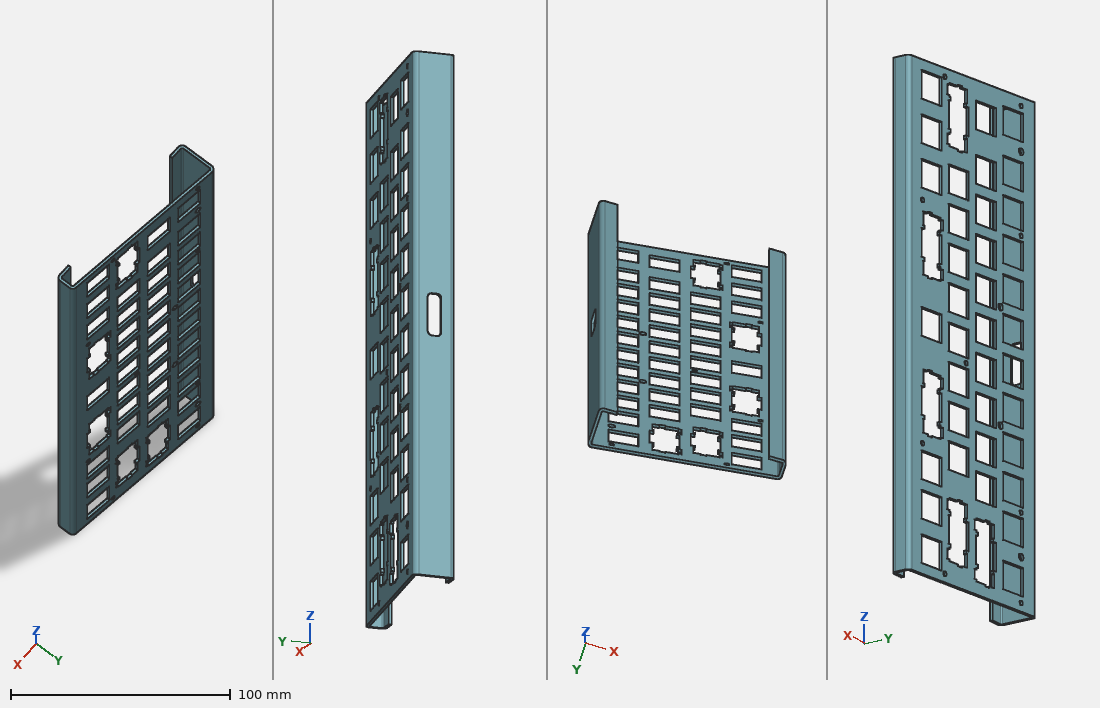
import cadquery as cq
import math

length = 248.0
width = 89.3
depth = 20.0
thickness = 1.5
bend_radius = 2.2
lip_length = 8.5
tilt_degrees = 6.8
tilt = math.radians(tilt_degrees)

units_per_row = 13
end_margin = 0.17
key_pitch = (length - 2 * end_margin) / units_per_row
row_shift = 0.32
switch_size = 14.0

key_rows = [
    [6] + 10 * [4] + [6],
    [7] + 9 * [4] + [9],
    [9] + 8 * [4] + [11],
    [5, 4, 5, 9, 7, 9, 4, 4, 5],
]
quarters_per_unit = 4
stabilizer_min_quarters = 8
flipped_row = len(key_rows) - 1

stabilizer_spacing = 12.0
stabilizer_width = 6.7
stabilizer_back = 5.7
stabilizer_front = 6.5
channel_back = 5.0
channel_front = 5.7
end_notch_width = 2.7
end_notch_depth = 0.7
end_notch_offset = 1.0
clip_notch_width = 5.0
clip_notch_depth = 1.5

large_hole_diameter = 3.2
small_hole_diameter = 2.2
back_hole_x = 33.7
front_hole_x = 35.2
inner_hole_x = 19.3
corner_hole_x = 19.5
corner_hole_z = 119.8
side_hole_z = 97.7
middle_hole_x = 4.7
middle_hole_z = 14.5
front_hole_top_z = 56.3
front_hole_bottom_z = 61.0

large_hole_places = [
    (-back_hole_x, side_hole_z),
    (-back_hole_x, -side_hole_z),
    (-inner_hole_x, key_pitch),
    (-inner_hole_x, -2 * key_pitch),
]
small_hole_places = [
    (-back_hole_x, corner_hole_z),
    (-back_hole_x, -corner_hole_z),
    (corner_hole_x, corner_hole_z),
    (corner_hole_x, -corner_hole_z),
    (-back_hole_x, 3 * key_pitch),
    (-back_hole_x, -4 * key_pitch),
    (middle_hole_x, -middle_hole_z),
    (front_hole_x, front_hole_top_z),
    (front_hole_x, -front_hole_bottom_z),
]

slot_length = 20.0
slot_width = 6.7
slot_radius = 2.2

corner_rise = bend_radius * (math.tan(tilt) + 1 / math.cos(tilt) - 1)
tall_side_y = depth / 2 + corner_rise
short_side_y = tall_side_y - width * math.tan(tilt)
plate_mid_y = (tall_side_y + short_side_y) / 2 - thickness / 2 / math.cos(tilt)


def folded_sheet():
    """C-shaped channel: tilted plate, two side walls and two inward lips."""
    corners = [
        (-width / 2, -depth / 2),
        (width / 2, -depth / 2),
        (width / 2, short_side_y),
        (-width / 2, tall_side_y),
    ]
    outline = cq.Workplane("XY").workplane(offset=-length / 2).polyline(corners).close()
    outer = outline.extrude(length).edges("|Z").fillet(bend_radius)
    inner = outline.toPending().offset2D(-thickness, "intersection").extrude(length)
    inner = inner.edges("|Z").fillet(bend_radius - thickness)
    lip_gap = cq.Workplane("XY").box(width - 2 * lip_length, 3 * thickness, length)
    return outer.cut(inner).cut(lip_gap.translate((0, -depth / 2, 0)))


def plate_plane():
    """Plane in the middle of the plate: local X runs down the slope, local Y along Z."""
    return cq.Workplane(
        cq.Plane(
            origin=(0, plate_mid_y, 0),
            xDir=(math.cos(tilt), -math.sin(tilt), 0),
            normal=(-math.sin(tilt), -math.cos(tilt), 0),
        )
    )


def plate_box(x_min, x_max, z_min, z_max):
    """Cutter through the plate over a rectangle in plate coordinates."""
    centre = ((x_min + x_max) / 2, (z_min + z_max) / 2)
    outline = plate_plane().center(*centre).rect(x_max - x_min, z_max - z_min)
    return outline.extrude(thickness, both=True)


def stabilizer_boxes(x, z, facing):
    """Cutters beside a wide key's switch; facing is 1 for clips toward +X, -1 for -X."""

    def box(x_from, x_to, z_from, z_to):
        x_ends = sorted((x + facing * x_from, x + facing * x_to))
        return plate_box(*x_ends, *sorted((z_from, z_to)))

    cutters = []
    for end in (-1, 1):
        middle = z + end * stabilizer_spacing
        inner_end = middle - end * stabilizer_width / 2
        outer_end = middle + end * stabilizer_width / 2
        cutters += [
            box(-channel_back, channel_front, z, inner_end),
            box(-stabilizer_back, stabilizer_front, inner_end, outer_end),
            box(
                -end_notch_offset - end_notch_width / 2,
                -end_notch_offset + end_notch_width / 2,
                middle,
                outer_end + end * end_notch_depth,
            ),
            box(
                0,
                stabilizer_front + clip_notch_depth,
                middle - clip_notch_width / 2,
                middle + clip_notch_width / 2,
            ),
        ]
    return cutters


def key_cutters():
    """Square switch cutouts, plus stabilizer cutouts on keys two units wide or more."""
    cutters = []
    for row, key_widths in enumerate(key_rows):
        x = (row - (len(key_rows) - 1) / 2) * key_pitch + row_shift
        key_top = units_per_row * key_pitch / 2
        for quarters in key_widths:
            key_width = quarters / quarters_per_unit * key_pitch
            z = key_top - key_width / 2
            half = switch_size / 2
            cutters.append(plate_box(x - half, x + half, z - half, z + half))
            if quarters >= stabilizer_min_quarters:
                cutters += stabilizer_boxes(x, z, -1 if row == flipped_row else 1)
            key_top -= key_width
    return cutters


def plate_holes(diameter, places):
    """Round cutters through the plate at places in plate coordinates."""
    return plate_plane().pushPoints(places).circle(diameter / 2).extrude(thickness, both=True)


def connector_slot():
    """Rounded slot through the tall wall, halfway along it."""
    slot = cq.Workplane("XY").box(3 * thickness, slot_width, slot_length)
    return slot.edges("|X").fillet(slot_radius).translate((-width / 2, 0, 0))


result = folded_sheet().cut(connector_slot())
for cutter in key_cutters():
    result = result.cut(cutter)
result = result.cut(plate_holes(large_hole_diameter, large_hole_places))
result = result.cut(plate_holes(small_hole_diameter, small_hole_places))